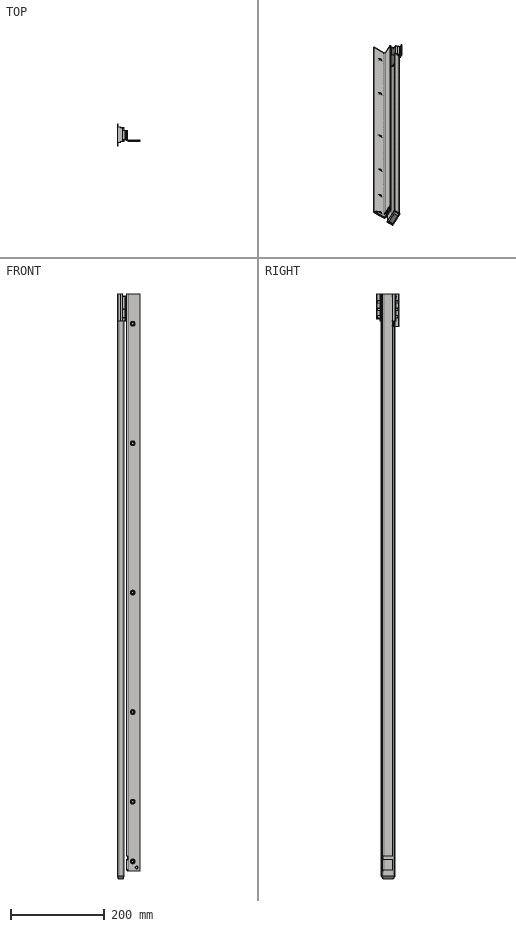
import cadquery as cq

total_length = 1253.75
total_width = 49.09
hole_pitch = 32.0
over = 1.0

plate_thickness = 2.0
plate_width = 48.0
plate_long_side = 70.0
plate_short_side = 54.0
plate_slope_start_y = 34.0
plate_slope_end_y = 20.0
plate_hole_y = 28.0
plate_hole_z = -61.0
plate_hole_diameter = 6.0
top_hole_y = 40.0
top_hole_z = -6.0
top_hole_diameter = 4.5
edge_slot_length = 8.0
edge_slot_width = 4.5
edge_slot_inset = 5.5
edge_slot_pitch = hole_pitch / 2
edge_slot_first_z = -17.0
edge_slot_count = 3
window_y_range = (11.0, 30.0)
window_top_z = -3.0
window_bottom_z = -50.0
window_bar_height = 3.0
window_bar_pitch = 8.0
window_bar_count = 5
block_height = 58.0
block_base_x = 7.0
block_base_y_range = (7.5, 41.5)
block_step_x = 11.5
nose_x = 17.3
nose_y_range = (13.5, 34.0)
nose_top_z = -5.0
nose_groove_width = 1.0
nose_groove_depth = 1.0
nose_groove_z = (-32.0, -51.0)

rail_thickness = 2.0
rail_y_range = (9.5, 40.0)
rail_bend_radius = 4.0
rail_short_flange_x = 12.5
rail_long_flange_x = 14.5
rail_lip_radius = 1.9
rail_nose_height = 6.5
rail_nose_y_inset = 5.0
rail_nose_x_inset = 2.3
rail_hole_y = 25.9
rail_hole_diameter = 5.0
rail_first_hole_z = -163.0
rail_hole_steps = (0, 6, 15, 24, 32)
rail_slot_length = 10.5
rail_slot_z = -87.0

strip_thickness = 2.5
strip_length = 1237.0
strip_left_x = 19.2
strip_front_y = 10.4
strip_leg_end_y = 34.0
strip_bend_radius = 5.1
strip_hole_x = 33.0
strip_hole_diameter = 5.0
strip_sink_diameter = 10.2
sink_angle = 90.0
strip_hole_steps = (2, 10, 20, 28, 34, 38)
notch_top_z = -1204.5
notch_height = 7.5
notch_x = 22.0
leg_end_gap = 3.0
corner_hole_x = 41.5
corner_hole_z = -1229.0
corner_hole_diameter = 5.0


def box(x_range, y_range, z_range):
    """Box between the given limits on each axis."""
    size = [limits[1] - limits[0] for limits in (x_range, y_range, z_range)]
    corner = (x_range[0], y_range[0], z_range[0])
    return cq.Workplane("XY").box(*size, centered=False).translate(corner)


def x_drill(points, diameter, depth):
    """Round cutters along +X, at (y, z) points, starting ahead of X = 0."""
    start = cq.Workplane("YZ", origin=(-over, 0, 0))
    return start.pushPoints(points).circle(diameter / 2).extrude(depth + over)


def plate_outline():
    """Bracket plate outline: one long side, one short side, joined by a slope."""
    outline = [
        (0, 0),
        (plate_width, 0),
        (plate_width, -plate_long_side),
        (plate_slope_start_y, -plate_long_side),
        (plate_slope_end_y, -plate_short_side),
        (0, -plate_short_side),
    ]
    return cq.Workplane("YZ").polyline(outline).close()


def make_bracket():
    plate = plate_outline().extrude(plate_thickness)

    plate = plate.cut(x_drill([(top_hole_y, top_hole_z)], top_hole_diameter, plate_thickness))
    plate = plate.cut(x_drill([(plate_hole_y, plate_hole_z)], plate_hole_diameter, plate_thickness))
    slots = [
        (y, edge_slot_first_z - row * edge_slot_pitch)
        for y in (edge_slot_inset, plate_width - edge_slot_inset)
        for row in range(edge_slot_count)
    ]
    slot_profiles = cq.Workplane("YZ").pushPoints(slots).slot2D(edge_slot_length, edge_slot_width)
    plate = plate.cut(slot_profiles.extrude(plate_thickness))

    window = box((0, plate_thickness), window_y_range, (window_bottom_z, window_top_z))
    for row in range(1, window_bar_count + 1):
        bar_top = window_top_z - row * window_bar_pitch + window_bar_height
        window = window.cut(box((0, plate_thickness), window_y_range, (bar_top - window_bar_height, bar_top)))
    plate = plate.cut(window)

    base = box((plate_thickness, block_base_x), block_base_y_range, (-block_height, 0))
    step = box((block_base_x, block_step_x), rail_y_range, (-block_height, 0))
    nose = box((block_step_x, nose_x), nose_y_range, (-block_height, nose_top_z))
    for z in nose_groove_z:
        groove_y = (nose_y_range[0], nose_y_range[0] + nose_groove_depth)
        nose = nose.cut(box((block_step_x, nose_x), groove_y, (z - nose_groove_width, z)))
    return plate.union(base).union(step).union(nose)


def make_rail():
    y_low, y_high = rail_y_range
    shell_end = -(total_length - rail_nose_height)
    outer = box((0, rail_long_flange_x), rail_y_range, (shell_end, -block_height))
    outer = outer.edges("|Z and <X").fillet(rail_bend_radius)
    outer = outer.edges("|Z and >X and <Y").fillet(rail_lip_radius)
    inner = box(
        (rail_thickness, rail_long_flange_x),
        (y_low + rail_thickness, y_high - rail_thickness),
        (shell_end, -block_height),
    )
    inner = inner.edges("|Z and <X").fillet(rail_bend_radius - rail_thickness)
    flange_trim = box(
        (rail_short_flange_x, rail_long_flange_x),
        (y_high - rail_thickness, y_high),
        (shell_end, -block_height),
    )
    rail = outer.cut(inner).cut(flange_trim)

    y_middle = (y_low + y_high) / 2
    x_middle = rail_long_flange_x / 2
    base_x = rail_long_flange_x
    base_y = y_high - y_low
    nose = (
        cq.Workplane("XY", origin=(x_middle, y_middle, shell_end))
        .rect(base_x, base_y)
        .workplane(offset=-rail_nose_height)
        .rect(base_x - 2 * rail_nose_x_inset, base_y - 2 * rail_nose_y_inset)
        .loft()
    )
    rail = rail.union(nose)

    holes = [(rail_hole_y, rail_first_hole_z - step * hole_pitch) for step in rail_hole_steps]
    rail = rail.cut(x_drill(holes, rail_hole_diameter, rail_thickness))
    slot = (
        cq.Workplane("YZ")
        .center(rail_hole_y, rail_slot_z)
        .slot2D(rail_slot_length, rail_hole_diameter, 90)
        .extrude(rail_thickness)
    )
    rail = rail.cut(slot)

    return rail.cut(plate_outline().extrude(plate_thickness))


def make_strip():
    left, front = strip_left_x, strip_front_y
    outer = box((left, total_width), (front, strip_leg_end_y), (-strip_length, 0))
    outer = outer.edges("|Z and <X and <Y").fillet(strip_bend_radius)
    inner = box(
        (left + strip_thickness, total_width),
        (front + strip_thickness, strip_leg_end_y),
        (-strip_length, 0),
    )
    inner = inner.edges("|Z and <X and <Y").fillet(strip_bend_radius - strip_thickness)
    strip = outer.cut(inner)

    holes = [(strip_hole_x, -step * hole_pitch) for step in strip_hole_steps]
    strip = (
        strip.copyWorkplane(cq.Workplane("XZ", origin=(0, front, 0)))
        .pushPoints(holes)
        .cskHole(strip_hole_diameter, strip_sink_diameter, sink_angle)
    )
    corner_hole = (
        cq.Workplane("XZ", origin=(corner_hole_x, front + strip_thickness, corner_hole_z))
        .circle(corner_hole_diameter / 2)
        .extrude(strip_thickness)
    )
    strip = strip.cut(corner_hole)

    leg_y = (front, strip_leg_end_y)
    notch = box((left, notch_x), leg_y, (notch_top_z - notch_height, notch_top_z))
    end_gap = box((left, notch_x), leg_y, (-strip_length, -strip_length + leg_end_gap))
    return strip.cut(notch).cut(end_gap)


bracket = make_bracket()
rail = make_rail()
strip = make_strip()
result = cq.Compound.makeCompound([bracket.solids().val(), rail.solids().val(), strip.solids().val()])